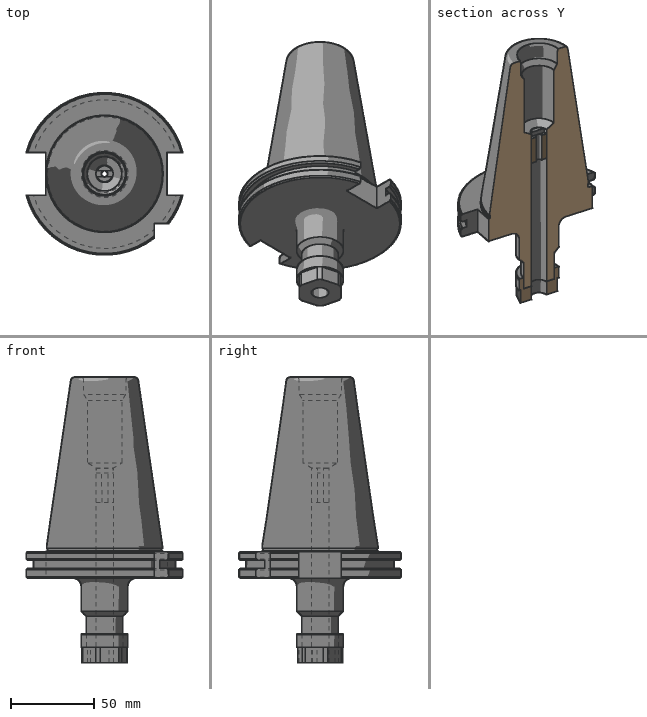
import cadquery as cq
import math

total_height = 171.8
nut_hex_top = 9.3
nut_top = 17.5
barrel_bottom = 31.1
flange_bottom = 50.8
flange_top = 66.8
collar_bottom = 68.7
gauge_plane = 70.0

gauge_radius = 34.9
taper_slope = 7 / 48
taper_nose_fillet = 3.0
undercut_depth = 0.5
undercut_flare_radius = 35.2
undercut_flare_height = 0.5
barrel_radius = 14.0
neck_radius = 11.0
barrel_fillet = 5.0

flange_radius = 48.8
flange_chamfer = 0.9
groove_floor_radius = 44.7
groove_floor_bottom = 56.8
groove_floor_top = 61.5
groove_lip = 1.0

key_slot_width = 25.6
left_slot_floor = 35.4
right_slot_floor = 37.6
notch_corner = 29.9

mouth_radius = 13.2
mouth_depth = 1.7
pilot_radius = 12.7
pilot_depth = 9.5
lead_in_radius = 12.5
lead_in_depth = 10.5
drill_radius = 10.3
drill_taper_depth = 14.0
drill_depth = 51.5
drill_cone_height = 3.1
screw_radius = 5.2

nut_radius = 14.0
nut_chamfer = 0.5
hex_flats = 25.0
hex_corner_radius = 13.7
hex_turn = 14.0

screw_length = 20.6
screw_chamfer = 0.3
screw_slot_width = 3.6
coolant_hole_radius = screw_slot_width / 2
screw_slot_depth = 3.0


def revolve_about_z(sketch):
    """Full revolution of a radius-height outline in the XZ plane."""
    return sketch.revolve(360, (0, 0, 0), (0, 1, 0))


def cylinder(radius, bottom, top):
    return cq.Workplane("XY").workplane(offset=bottom).circle(radius).extrude(top - bottom)


def make_spindle():
    """Neck, barrel, grooved flange and taper turned in one piece."""
    taper_top_radius = gauge_radius - (total_height - gauge_plane) * taper_slope
    barrel_chamfer = barrel_radius - neck_radius
    rim_radius = flange_radius - flange_chamfer
    undercut_radius = gauge_radius - undercut_depth
    lip_radius = flange_radius - groove_lip
    fillet_middle = barrel_fillet * (1 - math.sqrt(0.5))

    outline = (
        cq.Workplane("XZ")
        .moveTo(0, nut_hex_top)
        .lineTo(neck_radius, nut_hex_top)
        .lineTo(neck_radius, barrel_bottom - barrel_chamfer)
        .lineTo(barrel_radius, barrel_bottom)
        .lineTo(barrel_radius, flange_bottom - barrel_fillet)
        .threePointArc(
            (barrel_radius + fillet_middle, flange_bottom - fillet_middle),
            (barrel_radius + barrel_fillet, flange_bottom),
        )
        .lineTo(rim_radius, flange_bottom)
        .lineTo(flange_radius, flange_bottom + flange_chamfer)
        .lineTo(flange_radius, groove_floor_bottom - groove_lip)
        .lineTo(lip_radius, groove_floor_bottom)
        .lineTo(groove_floor_radius, groove_floor_bottom)
        .lineTo(groove_floor_radius, groove_floor_top)
        .lineTo(lip_radius, groove_floor_top)
        .lineTo(flange_radius, groove_floor_top + groove_lip)
        .lineTo(flange_radius, flange_top - flange_chamfer)
        .lineTo(rim_radius, flange_top)
        .lineTo(undercut_flare_radius, flange_top)
        .lineTo(undercut_radius, flange_top + undercut_flare_height)
        .lineTo(undercut_radius, collar_bottom)
        .lineTo(gauge_radius, collar_bottom)
        .lineTo(gauge_radius, gauge_plane)
        .lineTo(taper_top_radius, total_height)
        .lineTo(0, total_height)
        .close()
    )
    spindle = revolve_about_z(outline)
    return spindle.faces(">Z").edges().fillet(taper_nose_fillet)


def make_flange_cuts():
    """Two key slots on the X axis and one square corner notch."""
    flange_height = flange_top - flange_bottom
    reach = flange_radius

    def block(x_start, x_end, y_start, y_end):
        return (
            cq.Workplane("XY")
            .box(x_end - x_start, y_end - y_start, flange_height, centered=False)
            .translate((x_start, y_start, flange_bottom))
        )

    half_width = key_slot_width / 2
    left_slot = block(-reach, -left_slot_floor, -half_width, half_width)
    right_slot = block(right_slot_floor, reach, -half_width, half_width)
    notch = block(notch_corner, reach, -reach, -notch_corner)
    return left_slot.union(right_slot).union(notch)


def make_bore():
    """Chamfered pilot bore, drilled hole with conical end, and the screw hole running through."""
    drill_bottom = total_height - drill_depth
    outline = (
        cq.Workplane("XZ")
        .moveTo(0, total_height)
        .lineTo(mouth_radius, total_height)
        .lineTo(pilot_radius, total_height - mouth_depth)
        .lineTo(pilot_radius, total_height - pilot_depth)
        .lineTo(lead_in_radius, total_height - lead_in_depth)
        .lineTo(drill_radius, total_height - drill_taper_depth)
        .lineTo(drill_radius, drill_bottom)
        .lineTo(screw_radius, drill_bottom - drill_cone_height)
        .lineTo(screw_radius, nut_hex_top)
        .lineTo(0, nut_hex_top)
        .close()
    )
    return revolve_about_z(outline)


def make_holder():
    return make_spindle().cut(make_flange_cuts()).cut(make_bore())


def make_nut():
    """Round collar above a hexagon with rounded corners, socketed for the neck."""
    collar = cylinder(nut_radius, nut_hex_top, nut_top).faces(">Z").edges().chamfer(nut_chamfer)
    hex_across_corners = hex_flats / math.cos(math.radians(30))
    hexagon = (
        cq.Workplane("XY")
        .polygon(6, hex_across_corners)
        .extrude(nut_hex_top)
        .rotate((0, 0, 0), (0, 0, 1), hex_turn)
        .intersect(cylinder(hex_corner_radius, 0, nut_hex_top))
    )
    socket = cylinder(neck_radius, nut_hex_top, nut_top)
    opening = cylinder(screw_radius, 0, nut_hex_top)
    return collar.union(hexagon).cut(socket).cut(opening)


def make_stop_screw():
    """Slotted screw with a coolant hole; its head lies level with the end of the drilled cone."""
    screw_top = total_height - drill_depth - drill_cone_height
    screw_bottom = screw_top - screw_length
    shank = cylinder(screw_radius, screw_bottom, screw_top)
    screw = shank.faces(">Z").edges().chamfer(screw_chamfer)
    hole = cylinder(coolant_hole_radius, screw_bottom, screw_top)
    slot = (
        cq.Workplane("XY")
        .box(2 * screw_radius, screw_slot_width, screw_slot_depth, centered=(True, True, False))
        .translate((0, 0, screw_top - screw_slot_depth))
    )
    return screw.cut(hole).cut(slot)


holder = make_holder()
nut = make_nut()
stop_screw = make_stop_screw()

result = cq.Compound.makeCompound([holder.val(), nut.val(), stop_screw.val()])